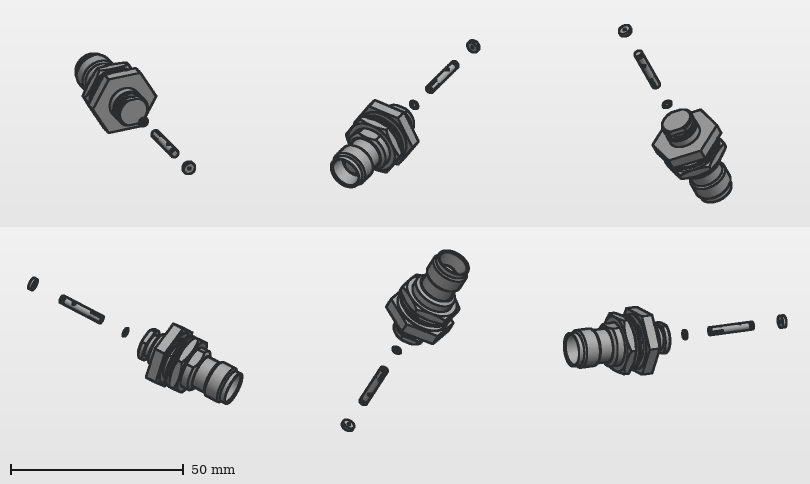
import cadquery as cq
import math


MOUTH_RADIUS = 4.9
BORE_MOUTH_RADIUS = 4.75
MOUTH_CHAMFER_LENGTH = 0.35
BORE_FRONT_RADIUS = 4.4
BORE_FLOOR_RADIUS = 4.05
BORE_DEPTH = 4.9
COLLAR_START = 1.65
COLLAR_END = 7.0
COLLAR_RADIUS = 5.5
COLLAR_CHAMFER = COLLAR_RADIUS - MOUTH_RADIUS
THREAD_START = 10.95
THREAD_RADIUS = 6.3
THREAD_LEAD_RADIUS = 5.2
THREAD_LEAD_LENGTH = 0.8
THREAD_FLAT_HEIGHT = 5.6
FLANGE_START = 20.3
FLANGE_END = 23.6
FLANGE_ACROSS_FLATS = 17.5
SEAT_RADIUS = 8.05
SEAT_THICKNESS = 0.2
REAR_RADIUS = 4.75
REAR_END = 26.5
REAR_CHAMFER = 0.4

INSULATOR_START = 3.5
INSULATOR_RADIUS = 2.4
INSULATOR_SEAT_DEPTH = 5.5

NECK_RADIUS = 3.45
CAP_START = 28.15
CAP_END = 29.85
CAP_CHAMFER = 0.4
CAP_ACROSS_FLATS = 8.1

NUT_START = 14.1
NUT_THICKNESS = 2.7
NUT_ACROSS_FLATS = 16.0
NUT_CHAMFER_LENGTH = 0.6

WASHER_START = 17.8
WASHER_THICKNESS = 0.7
WASHER_RADIUS = SEAT_RADIUS

RING_STATION = 36.75
RING_CENTRELINE_RADIUS = 1.1
RING_SECTION_RADIUS = 0.3

PIN_START = 44.85
PIN_END = 58.55
PIN_RADIUS = 1.2
SLOT_LENGTH = 3.6
SLOT_WIDTH = 0.3
CROSS_HOLE_STATION = 54.3
CROSS_HOLE_RADIUS = 0.5
GROOVE_START = 57.45
GROOVE_END = 57.95
GROOVE_RADIUS = 0.75

BEAD_END = 68.8
BEAD_THICKNESS = 1.1
BEAD_RADIUS = 1.8
BEAD_HOLE_RADIUS = 0.35


def cylinder(start, end, radius):
    """Round bar along X between two stations."""
    return turned([(start, 0), (start, radius), (end, radius), (end, 0)])


def hexagon(start, end, across_flats):
    """Hexagonal bar along X with flats at the top and bottom and corners at +Y and -Y."""
    across_corners = across_flats / math.cos(math.pi / 6)
    return cq.Workplane("YZ", origin=(start, 0, 0)).polygon(6, across_corners).extrude(end - start)


def turned(points):
    """Solid of revolution about X from (station, radius) points."""
    return cq.Workplane("XZ").polyline(points).close().revolve(360, (0, 0, 0), (1, 0, 0))


def make_housing():
    front = turned([
        (0, 0),
        (0, MOUTH_RADIUS),
        (COLLAR_START, MOUTH_RADIUS),
        (COLLAR_START + COLLAR_CHAMFER, COLLAR_RADIUS),
        (COLLAR_END - COLLAR_CHAMFER, COLLAR_RADIUS),
        (COLLAR_END, MOUTH_RADIUS),
        (THREAD_START, MOUTH_RADIUS),
        (THREAD_START, 0),
    ])
    thread = turned([
        (THREAD_START, 0),
        (THREAD_START, THREAD_LEAD_RADIUS),
        (THREAD_START + THREAD_LEAD_LENGTH, THREAD_RADIUS),
        (FLANGE_START, THREAD_RADIUS),
        (FLANGE_START, 0),
    ])
    above_flat = (
        cq.Workplane("XY", origin=(0, 0, THREAD_FLAT_HEIGHT))
        .rect(2 * FLANGE_START, 2 * THREAD_RADIUS)
        .extrude(THREAD_RADIUS)
    )
    seat = cylinder(FLANGE_START - SEAT_THICKNESS, FLANGE_START, SEAT_RADIUS)
    flange = hexagon(FLANGE_START, FLANGE_END, FLANGE_ACROSS_FLATS)
    rear = cylinder(FLANGE_END, REAR_END, REAR_RADIUS).faces(">X").chamfer(REAR_CHAMFER)
    neck = cylinder(REAR_END, CAP_START, NECK_RADIUS)
    cap_flats = cq.Workplane("XY").box(2 * CAP_END, 2 * REAR_RADIUS, CAP_ACROSS_FLATS)
    cap = cylinder(CAP_START, CAP_END, REAR_RADIUS).faces(">X").chamfer(CAP_CHAMFER).intersect(cap_flats)
    bore = turned([
        (0, 0),
        (0, BORE_MOUTH_RADIUS),
        (MOUTH_CHAMFER_LENGTH, BORE_FRONT_RADIUS),
        (BORE_DEPTH, BORE_FLOOR_RADIUS),
        (BORE_DEPTH, 0),
    ])
    outside = front
    for section in (thread.cut(above_flat), seat, flange, rear, neck, cap):
        outside = outside.union(section)
    return outside.cut(bore).cut(make_insulator())


def make_insulator():
    return cylinder(INSULATOR_START, BORE_DEPTH + INSULATOR_SEAT_DEPTH, INSULATOR_RADIUS)


def make_nut():
    nut_end = NUT_START + NUT_THICKNESS
    corner_radius = NUT_ACROSS_FLATS / 2 / math.cos(math.pi / 6)
    face_radius = NUT_ACROSS_FLATS / 2
    chamfers = turned([
        (NUT_START, 0),
        (NUT_START, face_radius),
        (NUT_START + NUT_CHAMFER_LENGTH, corner_radius),
        (nut_end - NUT_CHAMFER_LENGTH, corner_radius),
        (nut_end, face_radius),
        (nut_end, 0),
    ])
    blank = hexagon(NUT_START, nut_end, NUT_ACROSS_FLATS).intersect(chamfers)
    return blank.cut(cylinder(NUT_START, nut_end, THREAD_RADIUS))


def make_washer():
    washer_end = WASHER_START + WASHER_THICKNESS
    hole = cylinder(WASHER_START, washer_end, THREAD_RADIUS)
    return cylinder(WASHER_START, washer_end, WASHER_RADIUS).cut(hole)


def make_ring():
    section = cq.Workplane("XZ").center(RING_STATION, RING_CENTRELINE_RADIUS).circle(RING_SECTION_RADIUS)
    axis_start = (0, -RING_CENTRELINE_RADIUS, 0)
    axis_end = (1, -RING_CENTRELINE_RADIUS, 0)
    return section.revolve(360, axis_start, axis_end)


def make_pin():
    pin = cylinder(PIN_START, PIN_END, PIN_RADIUS)
    groove_floor = cylinder(GROOVE_START, GROOVE_END, GROOVE_RADIUS)
    groove = cylinder(GROOVE_START, GROOVE_END, PIN_RADIUS).cut(groove_floor)
    cross_hole = (
        cq.Workplane("XY", origin=(CROSS_HOLE_STATION, 0, 0))
        .circle(CROSS_HOLE_RADIUS)
        .extrude(PIN_RADIUS, both=True)
    )
    pin = pin.cut(groove).cut(cross_hole)
    for width, height in ((SLOT_WIDTH, 2 * PIN_RADIUS), (2 * PIN_RADIUS, SLOT_WIDTH)):
        slot = cq.Workplane("YZ", origin=(PIN_START, 0, 0)).rect(width, height).extrude(SLOT_LENGTH)
        pin = pin.cut(slot)
    return pin


def make_bead():
    bead_start = BEAD_END - BEAD_THICKNESS
    return cylinder(bead_start, BEAD_END, BEAD_RADIUS).cut(cylinder(bead_start, BEAD_END, BEAD_HOLE_RADIUS))


housing = make_housing()
insulator = make_insulator()
nut = make_nut()
washer = make_washer()
ring = make_ring()
pin = make_pin()
bead = make_bead()

result = cq.Compound.makeCompound([
    housing.val(),
    insulator.val(),
    nut.val(),
    washer.val(),
    ring.val(),
    pin.val(),
    bead.val(),
])